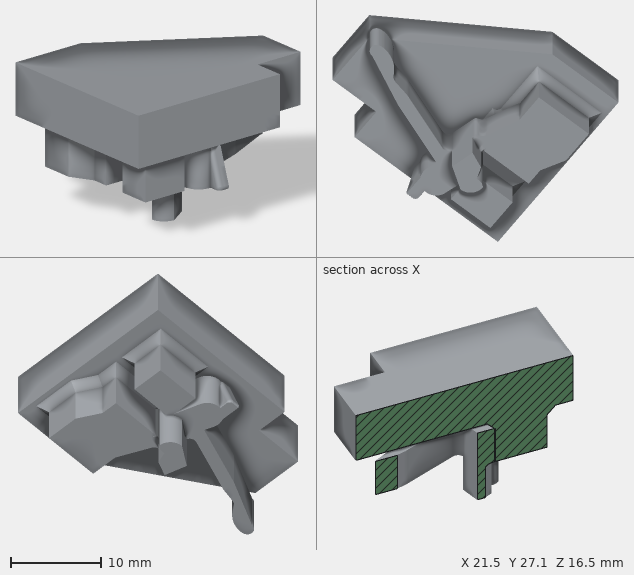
import cadquery as cq
import math

HEIGHT = 16.52
PLATE_BOTTOM = 10.2
FLARE_HEIGHT = 1.0
LEVER_BOTTOM = 4.66
LEVER_TOP = 9.37
FLARE_BOTTOM = PLATE_BOTTOM - FLARE_HEIGHT

PLATE_WIDTH = 21.49
PLATE_DEPTH = 26.53
SLANT_START_Y = 9.37
SLANT_END_X = 11.06
NOTCH_X = 17.6
NOTCH_Y = 20.32

POST_BACK = 8.77
POST_INSET_FRONT = 3.17
LEFT_POST_X = (3.15, 12.0)
LEFT_POST_FRONT = 1.68
LEFT_POST_SLOPE_X = (7.22, 9.95)
LEFT_POST_SHOULDER = 9.5
SHOULDER_ARC_START_X = 8.6
SHOULDER_ARC_RADIUS = 1.6
SHOULDER_ARC_END_ANGLE = math.radians(57)
RIGHT_POST_X = (14.87, 18.84)

TILT = math.radians(20)
WEB_SLOPE = math.tan(math.radians(24.4))
WEB_START_X = 6.6
PIN_BACK_CORNER = (11.4, 11.61)
PIN_SIDE_CORNER = (12.2, 9.78)
PIN_NECK = (13.6, 9.29)
PIN_NOSE_ANGLE = math.radians(-88)
PIN_NOSE_RADIUS = 1.1
PIN_RADIUS = 1.8
PIN_CENTER = (13.9, 9.91)
PIN_FILLET = 0.45
BAR_START_ANGLE = math.radians(-45)
LATCH_CENTER_X = 18.1
ARM_THICKNESS = 1.5

ARM_ROOT = (14.1, 12.35)
ARM_ROOT_END = (14.58, 13.35)
ARM_ROOT_RADIUS = 0.8
ARM_BEND = (12.2, 19.9)
ARM_BEND_END = (12.0, 20.47)
ARM_BEND_RADIUS = 2.6
HOOK_NECK = (11.61, 22.33)
HOOK_NECK_END = (11.05, 23.07)
HOOK_NECK_RADIUS = 1.1
HOOK_BULGE_END = (9.2, 25.87)
HOOK_BULGE_RADIUS = 3.5
TIP_RADIUS = 0.75
TIP_END_Y = 27.11
TIP_CENTER = (9.99, TIP_END_Y - TIP_RADIUS)
TIP_BLEND_ANGLE = math.radians(165)
TIP_BLEND_RADIUS = 2.0

WEB_BACK_END = (10.4, 10.53)
WEB_CORNER = (10.93, 11.22)
WEB_CORNER_END = (11.25, 11.57)
WEB_FILLET = 1.0
WEB_CORNER_RADIUS = 0.5

WEDGE_TOP_X = 20.0
WEDGE_CORNER_X = 21.66
WEDGE_DEPTH = 1.4
WEDGE_SETBACK = 0.2
WEDGE_EDGE_FILLET = 0.5
WEDGE_TIP_FILLET = 0.6
WEDGE_ROUND_BOTTOM = LEVER_BOTTOM - 0.31


def polar(center, radius, angle):
    """Point on a circle in the XY plane."""
    return (center[0] + radius * math.cos(angle), center[1] + radius * math.sin(angle))


def make_plate():
    outline = [
        (0, 0),
        (PLATE_WIDTH, 0),
        (PLATE_WIDTH, NOTCH_Y),
        (NOTCH_X, NOTCH_Y),
        (NOTCH_X, PLATE_DEPTH),
        (SLANT_END_X, PLATE_DEPTH),
        (0, SLANT_START_Y),
    ]
    plate = cq.Workplane("XY").workplane(offset=PLATE_BOTTOM)
    return plate.polyline(outline).close().extrude(HEIGHT - PLATE_BOTTOM)


def left_post_outline(plane):
    left, right = LEFT_POST_X
    slope_start, slope_end = LEFT_POST_SLOPE_X
    arc_center = (SHOULDER_ARC_START_X, POST_BACK + SHOULDER_ARC_RADIUS)
    arc_middle = polar(arc_center, SHOULDER_ARC_RADIUS, (SHOULDER_ARC_END_ANGLE - math.pi) / 2)
    arc_end_x = SHOULDER_ARC_START_X + SHOULDER_ARC_RADIUS * math.sin(SHOULDER_ARC_END_ANGLE)
    return (
        plane.moveTo(left, LEFT_POST_FRONT)
        .lineTo(slope_start, LEFT_POST_FRONT)
        .lineTo(slope_end, POST_INSET_FRONT)
        .lineTo(right, POST_INSET_FRONT)
        .lineTo(right, LEFT_POST_SHOULDER)
        .lineTo(arc_end_x, LEFT_POST_SHOULDER)
        .threePointArc(arc_middle, (SHOULDER_ARC_START_X, POST_BACK))
        .lineTo(left, POST_BACK)
        .close()
    )


def right_post_outline(plane):
    left, right = RIGHT_POST_X
    front = POST_INSET_FRONT
    return plane.polyline([(left, front), (right, front), (right, POST_BACK), (left, POST_BACK)]).close()


def make_post(outline):
    """Straight post with a 45 degree flare up to the plate."""
    foot_plane = cq.Workplane("XY").workplane(offset=LEVER_BOTTOM)
    foot = outline(foot_plane).extrude(FLARE_BOTTOM - LEVER_BOTTOM)
    flare_foot = outline(cq.Workplane("XY").workplane(offset=FLARE_BOTTOM)).val()
    flare_top = flare_foot.offset2D(FLARE_HEIGHT, "intersection")[0].translate((0, 0, FLARE_HEIGHT))
    flare = cq.Workplane(cq.Solid.makeLoft([flare_foot, flare_top], True))
    return foot.union(flare)


def latch_center():
    """Centre of the crossbar's round end."""
    run = LATCH_CENTER_X - PIN_CENTER[0]
    return (LATCH_CENTER_X, PIN_CENTER[1] + run * math.tan(TILT))


def make_lever():
    """Flat lever: hinge web, pin head, crossbar and hooked arm in one outline."""
    front_angle = TILT - math.pi / 2
    back_angle = TILT + math.pi / 2
    center = latch_center()
    nose = polar(PIN_CENTER, PIN_RADIUS, PIN_NOSE_ANGLE)
    round_middle = polar(PIN_CENTER, PIN_RADIUS, (PIN_NOSE_ANGLE + BAR_START_ANGLE) / 2)
    bar_front = polar(PIN_CENTER, PIN_RADIUS, BAR_START_ANGLE)
    bar_back = polar(PIN_CENTER, PIN_RADIUS, back_angle)
    web_run = PIN_SIDE_CORNER[0] - WEB_START_X
    web_front_start = (WEB_START_X, PIN_SIDE_CORNER[1] - web_run * WEB_SLOPE)
    web_back_start = (WEB_START_X, WEB_BACK_END[1] - (WEB_BACK_END[0] - WEB_START_X) * WEB_SLOPE)

    arm_right_top = polar(ARM_BEND, ARM_THICKNESS, TILT)
    arm_right_low = polar(ARM_ROOT_END, ARM_THICKNESS, TILT)
    base_distance = (arm_right_low[0] - bar_back[0]) * math.cos(TILT)
    base_distance += (arm_right_low[1] - bar_back[1]) * math.sin(TILT)
    arm_right_base = polar(bar_back, base_distance, TILT)

    tip_right = (TIP_CENTER[0] + TIP_RADIUS, TIP_CENTER[1])
    tip_top = (TIP_CENTER[0], TIP_CENTER[1] + TIP_RADIUS)
    tip_left = polar(TIP_CENTER, TIP_RADIUS, TIP_BLEND_ANGLE)
    return (
        cq.Workplane("XY").workplane(offset=LEVER_BOTTOM)
        .moveTo(*web_front_start)
        .lineTo(*PIN_SIDE_CORNER)
        .lineTo(*PIN_NECK)
        .radiusArc(nose, -PIN_NOSE_RADIUS)
        .threePointArc(round_middle, bar_front)
        .lineTo(*polar(center, PIN_RADIUS, front_angle))
        .threePointArc(polar(center, PIN_RADIUS, TILT), polar(center, PIN_RADIUS, back_angle))
        .lineTo(*arm_right_base)
        .lineTo(*arm_right_top)
        .lineTo(*tip_right)
        .threePointArc(tip_top, tip_left)
        .radiusArc(HOOK_BULGE_END, -TIP_BLEND_RADIUS)
        .radiusArc(HOOK_NECK_END, -HOOK_BULGE_RADIUS)
        .radiusArc(HOOK_NECK, HOOK_NECK_RADIUS)
        .lineTo(*ARM_BEND_END)
        .radiusArc(ARM_BEND, -ARM_BEND_RADIUS)
        .lineTo(*ARM_ROOT_END)
        .radiusArc(ARM_ROOT, ARM_ROOT_RADIUS)
        .lineTo(*WEB_CORNER_END)
        .radiusArc(WEB_CORNER, -WEB_CORNER_RADIUS)
        .radiusArc(WEB_BACK_END, WEB_FILLET)
        .lineTo(*web_back_start)
        .close()
        .extrude(LEVER_TOP - LEVER_BOTTOM)
    )


def make_pin():
    nose = polar(PIN_CENTER, PIN_RADIUS, PIN_NOSE_ANGLE)
    round_middle = polar(PIN_CENTER, PIN_RADIUS, PIN_NOSE_ANGLE / 2)
    round_end = polar(PIN_CENTER, PIN_RADIUS, 0)
    return (
        cq.Workplane("XY")
        .moveTo(*PIN_BACK_CORNER)
        .lineTo(*PIN_SIDE_CORNER)
        .lineTo(*PIN_NECK)
        .radiusArc(nose, -PIN_NOSE_RADIUS)
        .threePointArc(round_middle, round_end)
        .lineTo(*ARM_ROOT)
        .close()
        .extrude(LEVER_BOTTOM)
    )


def make_pin_fillet():
    """Concave fillet between the pin's flat side and the underside of the hinge web."""
    run_x = PIN_SIDE_CORNER[0] - PIN_BACK_CORNER[0]
    run_y = PIN_SIDE_CORNER[1] - PIN_BACK_CORNER[1]
    length = math.hypot(run_x, run_y)
    outward = (run_y / length, -run_x / length, 0)
    plane = cq.Plane(
        origin=(*PIN_BACK_CORNER, LEVER_BOTTOM), xDir=outward, normal=(run_x, run_y, 0)
    )
    drop = -PIN_FILLET * plane.yDir.z
    arc_middle_share = 1 - math.sqrt(0.5)
    return (
        cq.Workplane(plane)
        .lineTo(PIN_FILLET, 0)
        .threePointArc((PIN_FILLET * arc_middle_share, drop * arc_middle_share), (0, drop))
        .close()
        .extrude(length)
    )


def make_wedge():
    """Latch wedge, widening downwards, rounded along its front and cut flat at its foot."""
    inner_x, latch_y = latch_center()
    front = latch_y + WEDGE_SETBACK
    outline = [
        (inner_x, WEDGE_ROUND_BOTTOM),
        (WEDGE_CORNER_X, WEDGE_ROUND_BOTTOM),
        (WEDGE_TOP_X, LEVER_TOP),
        (inner_x, LEVER_TOP),
    ]
    wedge = (
        cq.Workplane("XZ", origin=(0, front, 0))
        .polyline(outline).close().extrude(-WEDGE_DEPTH)
    )
    tip_edge = (WEDGE_CORNER_X, front + WEDGE_DEPTH / 2, WEDGE_ROUND_BOTTOM)
    slant_edge = (
        (WEDGE_CORNER_X + WEDGE_TOP_X) / 2, front, (WEDGE_ROUND_BOTTOM + LEVER_TOP) / 2
    )
    for edge_point, radius in ((tip_edge, WEDGE_TIP_FILLET), (slant_edge, WEDGE_EDGE_FILLET)):
        nearest = cq.selectors.NearestToPointSelector(edge_point)
        wedge = wedge.edges(nearest).fillet(radius)
    below_foot = (
        cq.Workplane("XY", origin=(inner_x, front, WEDGE_ROUND_BOTTOM))
        .rect(WEDGE_CORNER_X - inner_x, WEDGE_DEPTH, centered=False)
        .extrude(LEVER_BOTTOM - WEDGE_ROUND_BOTTOM)
    )
    return wedge.cut(below_foot)


result = make_plate()
for body in (
    make_post(left_post_outline),
    make_post(right_post_outline),
    make_lever(),
    make_pin(),
    make_pin_fillet(),
    make_wedge(),
):
    result = result.union(body)